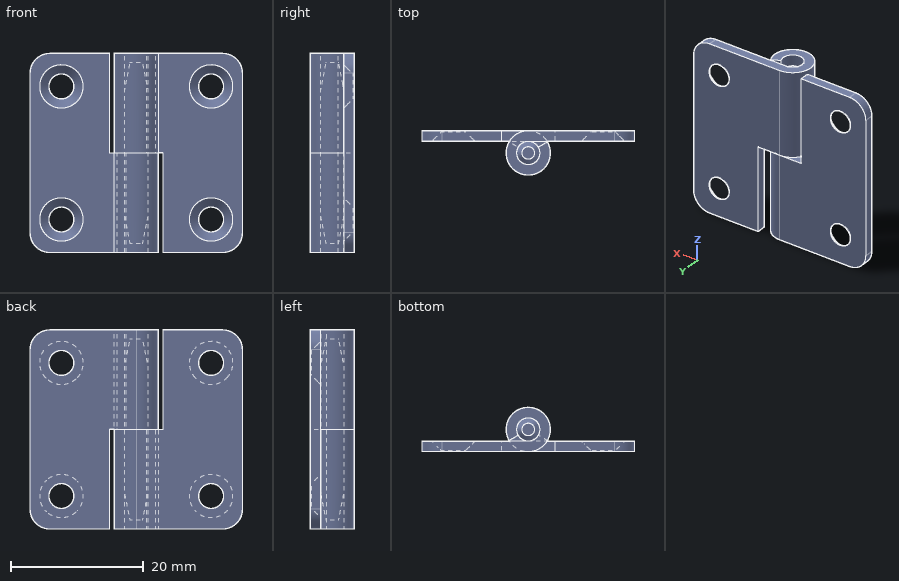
import cadquery as cq
import math


hinge_width = 32.0
hinge_height = 30.0
sheet_thickness = 1.6
half_width = hinge_width / 2
half_height = hinge_height / 2

knuckle_radius = 6.7 / 2
bore_radius = knuckle_radius - sheet_thickness
roll_end_angle = math.radians(30)

notch_edge = 4.0
corner_radius = 3.0

hole_offset_x = 11.25
hole_offset_z = 10.0
hole_diameter = 3.7
countersink_diameter = 6.53
countersink_angle = 90

pin_recess = 1.4
pin_taper_inset = 0.8
pin_taper_length = 4.0
pin_length = hinge_height - 2 * pin_recess


def polar_point(radius, angle):
    return (radius * math.cos(angle), radius * math.sin(angle))


def make_plate():
    """Full-height flat plate with rounded outer corners."""
    return (
        cq.Workplane("XY")
        .box(half_width - notch_edge, sheet_thickness, hinge_height, centered=False)
        .translate((notch_edge, bore_radius, -half_height))
        .edges("|Y and >X")
        .fillet(corner_radius)
    )


def make_knuckle():
    """Upper-half strip that leaves the plate and rolls around the pin."""
    roll_middle_angle = (math.pi / 2 + roll_end_angle + 2 * math.pi) / 2
    return (
        cq.Workplane("XY")
        .moveTo(notch_edge, knuckle_radius)
        .lineTo(0, knuckle_radius)
        .threePointArc(
            polar_point(knuckle_radius, roll_middle_angle),
            polar_point(knuckle_radius, roll_end_angle),
        )
        .lineTo(*polar_point(bore_radius, roll_end_angle))
        .threePointArc(polar_point(bore_radius, roll_middle_angle), (0, bore_radius))
        .lineTo(notch_edge, bore_radius)
        .close()
        .extrude(half_height)
    )


def cut_screw_holes(leaf):
    """Two screw holes, countersunk from the knuckle side of the plate."""
    plate_face = cq.Plane(origin=(0, bore_radius, 0), xDir=(1, 0, 0), normal=(0, -1, 0))
    hole_centers = [(hole_offset_x, side * hole_offset_z) for side in (-1, 1)]
    return (
        leaf.copyWorkplane(cq.Workplane(plate_face))
        .pushPoints(hole_centers)
        .cskHole(hole_diameter, countersink_diameter, countersink_angle)
    )


def make_leaf():
    return cut_screw_holes(make_plate().union(make_knuckle()))


def make_pin():
    """Round pin that fills the bores, with a steep taper at both ends."""
    tip_radius = bore_radius - pin_taper_inset
    shank_half_length = pin_length / 2 - pin_taper_length
    return (
        cq.Workplane("XZ")
        .moveTo(0, -pin_length / 2)
        .lineTo(tip_radius, -pin_length / 2)
        .lineTo(bore_radius, -shank_half_length)
        .lineTo(bore_radius, shank_half_length)
        .lineTo(tip_radius, pin_length / 2)
        .lineTo(0, pin_length / 2)
        .close()
        .revolve(360, (0, 0, 0), (0, 1, 0))
    )


leaves = []
for turn in (0, 180):
    leaf = make_leaf().rotate((0, 0, 0), (0, 1, 0), turn)
    leaves.append(leaf.val())

pin = make_pin()

result = cq.Compound.makeCompound([*leaves, pin.val()])